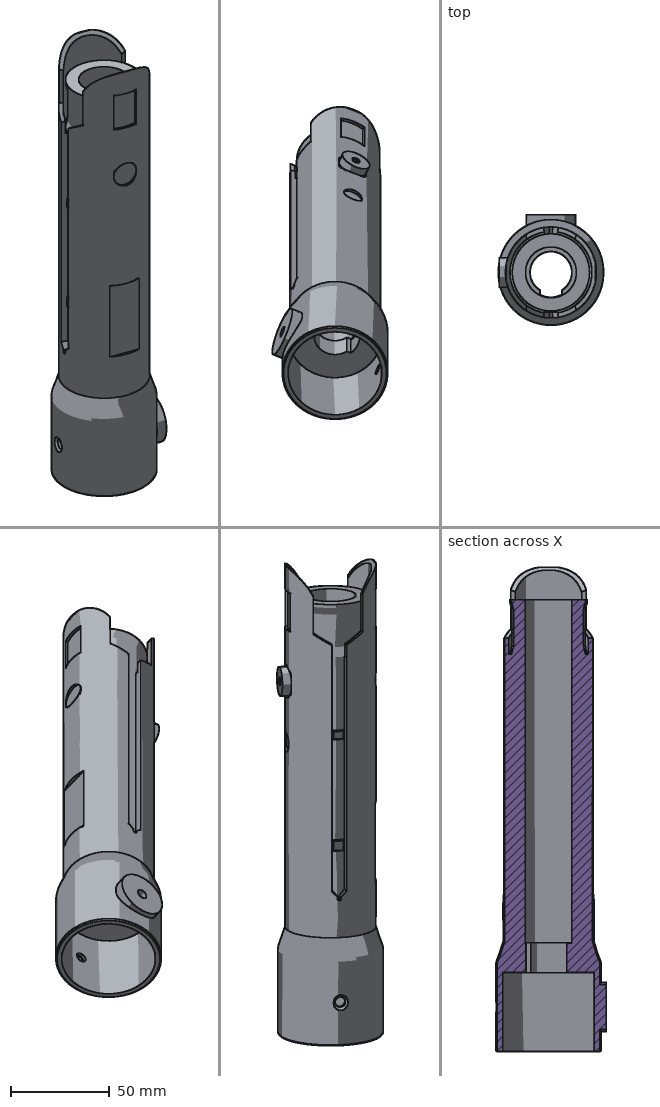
import cadquery as cq
import math

TOTAL_HEIGHT = 244.76
TOTAL_DEPTH = 55.86
BARREL_TOP = 228.4
BASE_TOP = 44.0
SHOULDER_TOP = 55.6

TUBE_RADIUS = 46.0 / 2
BASE_RADIUS = 53.36 / 2
BASE_WALL = 3.0
BASE_BORE_RADIUS = BASE_RADIUS - BASE_WALL
BASE_BORE_DEPTH = 40.0
BASE_CHAMFER = 0.7
SHOULDER_ROUND = 1.5
SHOULDER_STEP = 0.5

LIP_RADIUS = 39.0 / 2
LIP_HEIGHT = 1.7
LIP_TAPER = 3.7
BARREL_RADIUS = 37.0 / 2
GAP_OUTER_RADIUS = 41.4 / 2
GAP_CONE_TOP = 206.0
GAP_CONE_BOTTOM = 201.0

BORE_RADIUS = 25.7 / 2
RING_BORE_RADIUS = 21.0 / 2
RING_TOP = 55.0
KEY_REACH = 25.0 / 2
KEY_WIDTH = 11.0

OPENING_INNER_HALF_WIDTH = 12.2
OPENING_OUTER_HALF_WIDTH = 12.7
OPENING_SHOULDER_Z = 213.4
OPENING_THROAT_Z = 208.0
LUG_TIP_X = 22.5
LUG_ARC_DROP = 12.5
LUG_ARC_BULGE = 1.0

SLOT_WIDTH = 7.5
SLOT_HALF_ANGLE = math.degrees(math.asin(SLOT_WIDTH / 2 / TUBE_RADIUS))
SLOT_FLOOR_RADIUS = 39.0 / 2
SLOT_STRAIGHT_END = 79.6
SLOT_TIP_DIAMETER = 1.9
PAD_WIDTH = 6.3
PAD_PROUD = 0.6
PAD_BEVEL = 0.7
PAD_CENTRES_AND_LENGTHS = ((102.8, 6.0), (160.4, 5.0))

WINDOW_WIDTH = 13.0
WINDOW_BOTTOM = 212.0
WINDOW_TOP = 232.0
RECESS_DEPTH = 1.3
BUTTON_Z = 184.7
BUTTON_DIAMETER = 15.0
BUTTON_FACE_X = 26.2
BUTTON_SEAT_DIAMETER = 17.0
BUTTON_HOLE_DIAMETER = 3.33
BUTTON_HOLE_MOUTH = 4.11
BUTTON_HOLE_DEPTH = 0.6
ROUND_RECESS_DIAMETER = 10.0
ROUND_RECESS_Z = 152.9
SOCKET_DIAMETER = 13.0
LONG_RECESS_BOTTOM = 79.6
LONG_RECESS_TOP = 121.0
LONG_RECESS_DEPTH = 1.6

CUTTER_NEAR = 5.0
CUTTER_FAR = 28.0

PIN_Z = 22.6
PIN_DIAMETER = 5.3
PIN_MOUTH_DIAMETER = 7.5
BOSS_DIAMETER = 25.0
BOSS_FACE_Y = TOTAL_DEPTH - BASE_RADIUS


def cylinder(radius, bottom, top):
    return cq.Workplane("XY").workplane(offset=bottom).circle(radius).extrude(top - bottom)


def x_cylinder(diameter, z, start, end):
    return cq.Workplane("YZ", origin=(start, 0, z)).circle(diameter / 2).extrude(end - start)


def y_cylinder(diameter, z, start, end):
    return cq.Workplane("XZ", origin=(0, start, z)).circle(diameter / 2).extrude(start - end)


def box(x_range, y_range, z_range):
    sizes = [high - low for low, high in (x_range, y_range, z_range)]
    corner = (x_range[0], y_range[0], z_range[0])
    return cq.Workplane("XY").box(*sizes, centered=False).translate(corner)


def both_sides(shape):
    return shape.union(shape.rotate((0, 0, 0), (0, 0, 1), 180))


def radial_cutter(points):
    """Solid about the -Y axis, outlined by (angle, z) points, whose sides aim at the Z axis."""
    wires = []
    for distance in (CUTTER_NEAR, CUTTER_FAR):
        corners = [(distance * math.tan(math.radians(angle)), z) for angle, z in points]
        wires.append(cq.Workplane("XZ", origin=(0, -distance, 0)).polyline(corners).close().val())
    return cq.Workplane(cq.Solid.makeLoft(wires, True))


def outer_body():
    return (
        cq.Workplane("XZ")
        .moveTo(0, 0)
        .lineTo(BASE_RADIUS - BASE_CHAMFER, 0)
        .lineTo(BASE_RADIUS, BASE_CHAMFER)
        .lineTo(BASE_RADIUS, BASE_TOP)
        .lineTo(BASE_RADIUS - SHOULDER_STEP / 2, BASE_TOP + SHOULDER_ROUND)
        .lineTo(TUBE_RADIUS + SHOULDER_STEP, SHOULDER_TOP - SHOULDER_ROUND)
        .lineTo(TUBE_RADIUS, SHOULDER_TOP)
        .lineTo(TUBE_RADIUS, TOTAL_HEIGHT)
        .lineTo(0, TOTAL_HEIGHT)
        .close()
        .revolve(360, (0, 0, 0), (0, 1, 0))
    )


def gap_around_barrel():
    """Space inside the lugs: open above the barrel, annular beside it."""
    lip_bottom = BARREL_TOP - LIP_HEIGHT
    return (
        cq.Workplane("XZ")
        .moveTo(0, TOTAL_HEIGHT)
        .lineTo(0, BARREL_TOP)
        .lineTo(LIP_RADIUS, BARREL_TOP)
        .lineTo(LIP_RADIUS, lip_bottom)
        .lineTo(BARREL_RADIUS, lip_bottom - LIP_TAPER)
        .lineTo(BARREL_RADIUS, GAP_CONE_TOP)
        .lineTo(SLOT_FLOOR_RADIUS, GAP_CONE_BOTTOM)
        .lineTo(GAP_OUTER_RADIUS, GAP_CONE_BOTTOM)
        .lineTo(GAP_OUTER_RADIUS, TOTAL_HEIGHT)
        .close()
        .revolve(360, (0, 0, 0), (0, 1, 0))
    )


def bores():
    key = box((-KEY_WIDTH / 2, KEY_WIDTH / 2), (-KEY_REACH, 0), (0, RING_TOP))
    key = key.intersect(cylinder(KEY_REACH, 0, RING_TOP))
    return (
        cylinder(BASE_BORE_RADIUS, 0, BASE_BORE_DEPTH)
        .union(cylinder(RING_BORE_RADIUS, 0, BARREL_TOP))
        .union(cylinder(BORE_RADIUS, RING_TOP, BARREL_TOP))
        .union(key)
    )


def lug_roundings():
    """Arcs, cut through along Y, that round off the tops of both lugs."""
    width = LUG_TIP_X - OPENING_INNER_HALF_WIDTH
    chord = math.hypot(width, LUG_ARC_DROP)
    arc_bottom = TOTAL_HEIGHT - LUG_ARC_DROP
    middle_x = LUG_TIP_X - width / 2 - LUG_ARC_BULGE * LUG_ARC_DROP / chord
    middle_z = TOTAL_HEIGHT - LUG_ARC_DROP / 2 + LUG_ARC_BULGE * width / chord
    return (
        cq.Workplane("XZ", origin=(0, BASE_RADIUS, 0))
        .moveTo(LUG_TIP_X, TOTAL_HEIGHT)
        .threePointArc((middle_x, middle_z), (OPENING_INNER_HALF_WIDTH, arc_bottom))
        .lineTo(-OPENING_INNER_HALF_WIDTH, arc_bottom)
        .threePointArc((-middle_x, middle_z), (-LUG_TIP_X, TOTAL_HEIGHT))
        .close()
        .extrude(2 * BASE_RADIUS)
    )


def lug_opening():
    """Opening between the lugs, slightly wider outside than inside, cut around the barrel."""
    inner_y = math.sqrt(GAP_OUTER_RADIUS**2 - OPENING_INNER_HALF_WIDTH**2)
    outer_y = math.sqrt(TUBE_RADIUS**2 - OPENING_OUTER_HALF_WIDTH**2)
    flare = (OPENING_OUTER_HALF_WIDTH - OPENING_INNER_HALF_WIDTH) / (outer_y - inner_y)
    wires = []
    for distance in (CUTTER_NEAR, CUTTER_FAR):
        half_width = OPENING_INNER_HALF_WIDTH + flare * (distance - inner_y)
        throat = distance * math.tan(math.radians(SLOT_HALF_ANGLE))
        outline = (
            cq.Workplane("XZ", origin=(0, -distance, 0))
            .moveTo(half_width, TOTAL_HEIGHT)
            .lineTo(half_width, OPENING_SHOULDER_Z)
            .lineTo(throat, OPENING_THROAT_Z)
            .lineTo(-throat, OPENING_THROAT_Z)
            .lineTo(-half_width, OPENING_SHOULDER_Z)
            .lineTo(-half_width, TOTAL_HEIGHT)
            .close()
        )
        wires.append(outline.val())
    opening = both_sides(cq.Workplane(cq.Solid.makeLoft(wires, True)))
    return opening.union(lug_roundings()).cut(cylinder(LIP_RADIUS, 0, BARREL_TOP))


def pointed_slots():
    tip_z = SLOT_STRAIGHT_END - SLOT_WIDTH / 2
    outline = (
        (-SLOT_HALF_ANGLE, OPENING_THROAT_Z),
        (-SLOT_HALF_ANGLE, SLOT_STRAIGHT_END),
        (0, tip_z),
        (SLOT_HALF_ANGLE, SLOT_STRAIGHT_END),
        (SLOT_HALF_ANGLE, OPENING_THROAT_Z),
    )
    tips = y_cylinder(SLOT_TIP_DIAMETER, tip_z, -BASE_RADIUS, BASE_RADIUS)
    slots = both_sides(radial_cutter(outline)).union(tips)
    return slots.cut(cylinder(SLOT_FLOOR_RADIUS, 0, TOTAL_HEIGHT))


def slot_pads():
    """Small raised pads with bevelled sides on the floor of the -Y slot."""
    face_y = -(SLOT_FLOOR_RADIUS + PAD_PROUD)
    base_y = -(SLOT_FLOOR_RADIUS - PAD_PROUD)
    pads = cq.Workplane("XY")
    for z, length in PAD_CENTRES_AND_LENGTHS:
        half_width = PAD_WIDTH / 2
        half_length = length / 2
        pad = box((-half_width, half_width), (face_y, base_y), (z - half_length, z + half_length))
        pads = pads.add(pad.faces("<Y").chamfer(PAD_PROUD, PAD_BEVEL))
    return pads.combine()


def lug_windows():
    """Shallow curved pockets on the outside of both lugs."""
    half_angle = math.degrees(math.asin(WINDOW_WIDTH / 2 / TUBE_RADIUS))
    outline = (
        (-half_angle, WINDOW_BOTTOM),
        (half_angle, WINDOW_BOTTOM),
        (half_angle, WINDOW_TOP),
        (-half_angle, WINDOW_TOP),
    )
    windows = both_sides(radial_cutter(outline)).rotate((0, 0, 0), (0, 0, 1), 90)
    return windows.cut(cylinder(TUBE_RADIUS - RECESS_DEPTH, 0, TOTAL_HEIGHT))


def side_recesses():
    floor = TUBE_RADIUS - RECESS_DEPTH
    long_floor = TUBE_RADIUS - LONG_RECESS_DEPTH
    round_recess = x_cylinder(ROUND_RECESS_DIAMETER, ROUND_RECESS_Z, -TUBE_RADIUS, -floor)
    button_seat = x_cylinder(BUTTON_SEAT_DIAMETER, BUTTON_Z, -TUBE_RADIUS, -floor)
    socket = x_cylinder(SOCKET_DIAMETER, BUTTON_Z, floor, TUBE_RADIUS)
    long_recess = box(
        (long_floor, TUBE_RADIUS),
        (-TUBE_RADIUS, TUBE_RADIUS),
        (LONG_RECESS_BOTTOM, LONG_RECESS_TOP),
    )
    return round_recess.union(button_seat).union(socket).union(long_recess)


def button():
    hole_bottom = BUTTON_HOLE_DEPTH - BUTTON_FACE_X
    mouth_bottom = BUTTON_HOLE_DEPTH / 2 - BUTTON_FACE_X
    hole = x_cylinder(BUTTON_HOLE_DIAMETER, BUTTON_Z, -BUTTON_FACE_X, hole_bottom)
    mouth = x_cylinder(BUTTON_HOLE_MOUTH, BUTTON_Z, -BUTTON_FACE_X, mouth_bottom)
    body = x_cylinder(BUTTON_DIAMETER, BUTTON_Z, -BUTTON_FACE_X, -GAP_OUTER_RADIUS)
    return body.cut(hole).cut(mouth)


def pin_boss():
    return y_cylinder(BOSS_DIAMETER, PIN_Z, BASE_BORE_RADIUS, BOSS_FACE_Y).cut(
        cylinder(BASE_BORE_RADIUS, 0, BASE_BORE_DEPTH)
    )


def pin_hole():
    through = y_cylinder(PIN_DIAMETER, PIN_Z, -BASE_RADIUS, BOSS_FACE_Y)
    surface_drop = BASE_RADIUS - math.sqrt(BASE_RADIUS**2 - (PIN_MOUTH_DIAMETER / 2) ** 2)
    start_radius = PIN_MOUTH_DIAMETER / 2 + surface_drop
    end_radius = PIN_DIAMETER / 2
    mouth = cq.Solid.makeCone(
        start_radius,
        end_radius,
        start_radius - end_radius,
        pnt=cq.Vector(0, -BASE_RADIUS, PIN_Z),
        dir=cq.Vector(0, 1, 0),
    )
    return through.union(mouth)


result = (
    outer_body()
    .cut(gap_around_barrel())
    .cut(bores())
    .cut(lug_opening())
    .cut(pointed_slots())
    .cut(lug_windows())
    .cut(side_recesses())
    .union(slot_pads())
    .union(button())
    .union(pin_boss())
    .cut(pin_hole())
)